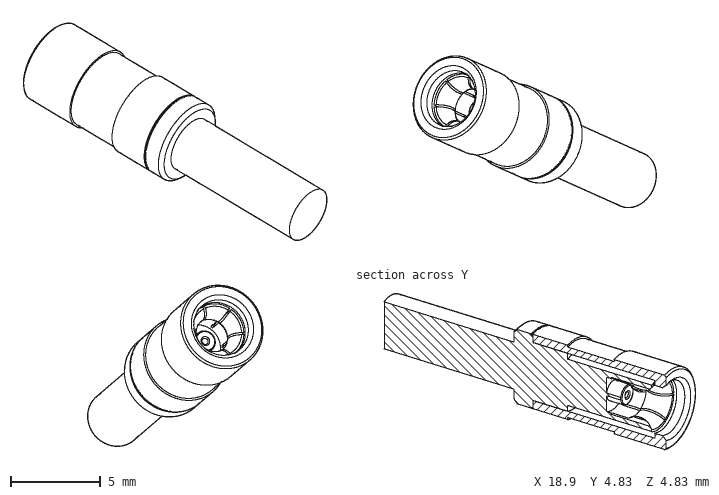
import cadquery as cq


sleeve_diameter = 4.83
sleeve_length = 8.96
waist_diameter = 4.6
waist_start = 3.5
waist_end = 6.6
front_chamfer = 0.115
mouth_diameter = 3.65
mouth_depth = 0.25
sleeve_bore_diameter = 3.2
recess_diameter = 3.78
recess_start = 0.79

collar_length = 0.08
collar_diameter = 4.7
flange_start = sleeve_length + collar_length
flange_end = 10.23
flange_chamfer = 0.23
tube_diameter = 3.2
overall_length = 18.92

shank_start = waist_end

finger_diameter = 3.16
finger_tip = 0.97
lead_in_diameter = 2.88
lead_in_depth = 0.2
finger_bore_diameter = 2.43
throat_diameter = 1.95
throat_depth = 0.7
socket_floor = 4.0
slot_count = 6
slot_end = 3.7
slot_width = 0.12

contact_diameter = 1.2
contact_tip_diameter = 1.09
contact_tip = 3.0
pin_hole_diameter = 0.36
pin_hole_mouth_diameter = 0.51
pin_hole_depth = 0.8


def revolve_profile(profile):
    """Turn a profile drawn as (x, radius) about the X axis."""
    return profile.close().revolve(360, (0, 0, 0), (1, 0, 0))


def make_sleeve():
    outer = sleeve_diameter / 2
    waist = waist_diameter / 2
    bore = sleeve_bore_diameter / 2
    recess = recess_diameter / 2
    return revolve_profile(
        cq.Workplane("XY")
        .moveTo(0, mouth_diameter / 2)
        .lineTo(0, outer - front_chamfer)
        .lineTo(front_chamfer, outer)
        .lineTo(waist_start, outer)
        .lineTo(waist_start, waist)
        .lineTo(waist_end, waist)
        .lineTo(waist_end, outer)
        .lineTo(sleeve_length, outer)
        .lineTo(sleeve_length, recess)
        .lineTo(recess_start, recess)
        .lineTo(recess_start, bore)
        .lineTo(mouth_depth, bore)
    )


def make_body_blank():
    """Fingers, shank, collar, flange and tube in one turning, with the finger bore open at the front."""
    finger = finger_diameter / 2
    shank = recess_diameter / 2
    collar = collar_diameter / 2
    flange = sleeve_diameter / 2
    lead_in_end = finger_tip + lead_in_depth
    throat = lead_in_end + throat_depth
    bore = finger_bore_diameter / 2
    throat_radius = throat_diameter / 2
    return revolve_profile(
        cq.Workplane("XY")
        .moveTo(socket_floor, 0)
        .lineTo(socket_floor, bore)
        .lineTo(throat + throat_depth, bore)
        .threePointArc((throat, throat_radius), (lead_in_end, bore))
        .lineTo(finger_tip, lead_in_diameter / 2)
        .lineTo(finger_tip, finger)
        .lineTo(shank_start, finger)
        .lineTo(shank_start, shank)
        .lineTo(sleeve_length, shank)
        .lineTo(sleeve_length, collar)
        .lineTo(flange_start, collar)
        .lineTo(flange_start, flange)
        .lineTo(flange_end - flange_chamfer, flange)
        .lineTo(flange_end, flange - flange_chamfer)
        .lineTo(flange_end, tube_diameter / 2)
        .lineTo(overall_length, tube_diameter / 2)
        .lineTo(overall_length, 0)
    )


def make_slots():
    """Slots between the fingers, each pair cut by one blade across the axis."""
    length = slot_end - finger_tip
    slots = cq.Workplane("XY")
    for index in range(slot_count // 2):
        blade = cq.Workplane("XY").box(length, finger_diameter, slot_width, centered=(False, True, True))
        blade = blade.translate((finger_tip, 0, 0))
        slots = slots.add(blade.rotate((0, 0, 0), (1, 0, 0), index * 360 / slot_count))
    return slots.combine()


def make_contact():
    """Contact with a chamfered tip and a countersunk blind hole."""
    radius = contact_diameter / 2
    tip_radius = contact_tip_diameter / 2
    hole = pin_hole_diameter / 2
    hole_mouth = pin_hole_mouth_diameter / 2
    return revolve_profile(
        cq.Workplane("XY")
        .moveTo(contact_tip + pin_hole_depth, 0)
        .lineTo(contact_tip + pin_hole_depth, hole)
        .lineTo(contact_tip + hole_mouth - hole, hole)
        .lineTo(contact_tip, hole_mouth)
        .lineTo(contact_tip, tip_radius)
        .lineTo(contact_tip + radius - tip_radius, radius)
        .lineTo(socket_floor, radius)
        .lineTo(socket_floor, 0)
    )


sleeve = make_sleeve()
connector_body = make_body_blank().cut(make_slots()).union(make_contact())

result = cq.Compound.makeCompound([sleeve.val(), connector_body.val()])